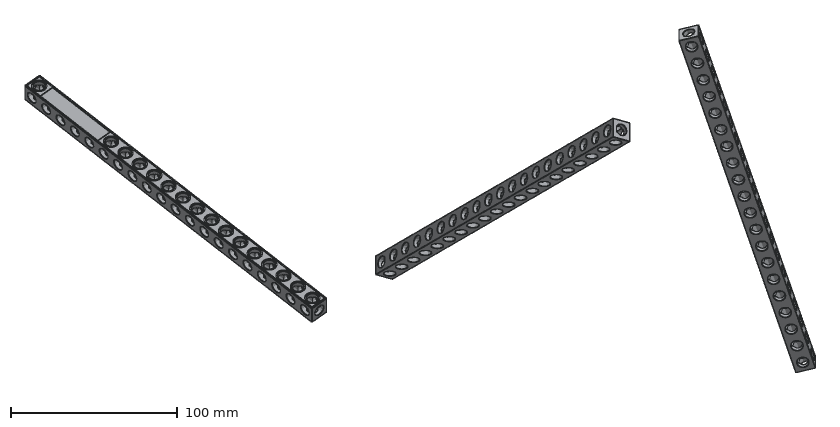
import cadquery as cq

CELL_SIZE = 12.5
CELL_COUNT = 20
LENGTH = CELL_SIZE * CELL_COUNT
TOP = CELL_SIZE / 2
EDGE_CHAMFER = 0.3

LAND_WIDTH = 0.8
FACE_RECESS_DEPTH = 0.2
FRAME_WIDTH = EDGE_CHAMFER + LAND_WIDTH
FIELD_LENGTH = LENGTH - 2 * FRAME_WIDTH
FIELD_WIDTH = CELL_SIZE - 2 * FRAME_WIDTH

HOLE_DIAMETER = 7.0
COLLAR_DIAMETER = HOLE_DIAMETER + 2 * FRAME_WIDTH

LABEL_CELLS = range(1, 5)
LABEL_DEPTH = 0.8
LABEL_FLOOR = 1.0
LABEL_LENGTH = CELL_SIZE * len(LABEL_CELLS)
LABEL_START = CELL_SIZE * LABEL_CELLS.start - LENGTH / 2

CELL_CENTRES = [(cell + 0.5) * CELL_SIZE - LENGTH / 2 for cell in range(CELL_COUNT)]
LABEL_CENTRES = [CELL_CENTRES[cell] for cell in LABEL_CELLS]
OPEN_CENTRES = [x for x in CELL_CENTRES if x not in LABEL_CENTRES]


def beam_body():
    """Solid bar with every outer edge chamfered."""
    return cq.Workplane("XY").box(LENGTH, CELL_SIZE, CELL_SIZE).edges().chamfer(EDGE_CHAMFER)


def through_hole(length):
    """Cutter along Z for a through hole with both mouths chamfered, centred on the origin."""
    shaft = cq.Workplane("XY").circle(HOLE_DIAMETER / 2).extrude(length / 2, both=True)
    mouth = (
        cq.Workplane("XY", origin=(0, 0, length / 2))
        .circle(HOLE_DIAMETER / 2 + EDGE_CHAMFER)
        .extrude(-EDGE_CHAMFER, taper=45)
    )
    return shaft.union(mouth).union(mouth.mirror("XY"))


def blind_hole():
    """Cutter along Z for a hole from the -Z face that stops under the label floor."""
    closed_depth = LABEL_DEPTH + LABEL_FLOOR
    closed_part = (
        cq.Workplane("XY", origin=(0, 0, TOP))
        .rect(CELL_SIZE, CELL_SIZE)
        .extrude(-closed_depth)
    )
    return through_hole(CELL_SIZE).cut(closed_part)


def face_recess():
    """Cutter for the sunk field of the +Z face, leaving a collar round each open hole."""
    return (
        cq.Workplane("XY", origin=(0, 0, TOP))
        .rect(FIELD_LENGTH, FIELD_WIDTH)
        .pushPoints([(x, 0) for x in OPEN_CENTRES])
        .circle(COLLAR_DIAMETER / 2)
        .extrude(-FACE_RECESS_DEPTH)
    )


def label_pocket():
    """Cutter for the deeper pocket that spans the label cells."""
    return (
        cq.Workplane("XY", origin=(LABEL_START + LABEL_LENGTH / 2, 0, TOP))
        .rect(LABEL_LENGTH, FIELD_WIDTH)
        .extrude(-LABEL_DEPTH)
    )


def cut_at(part, cutter, x_positions):
    """Remove a copy of the cutter at every given X position."""
    for x in x_positions:
        part = part.cut(cutter.translate((x, 0, 0)))
    return part


upright_hole = through_hole(CELL_SIZE)
cross_hole = upright_hole.rotate((0, 0, 0), (1, 0, 0), 90)
lengthwise_hole = through_hole(LENGTH).rotate((0, 0, 0), (0, 1, 0), 90)

result = beam_body().cut(face_recess()).cut(label_pocket()).cut(lengthwise_hole)
result = cut_at(result, cross_hole, CELL_CENTRES)
result = cut_at(result, upright_hole, OPEN_CENTRES)
result = cut_at(result, blind_hole(), LABEL_CENTRES)